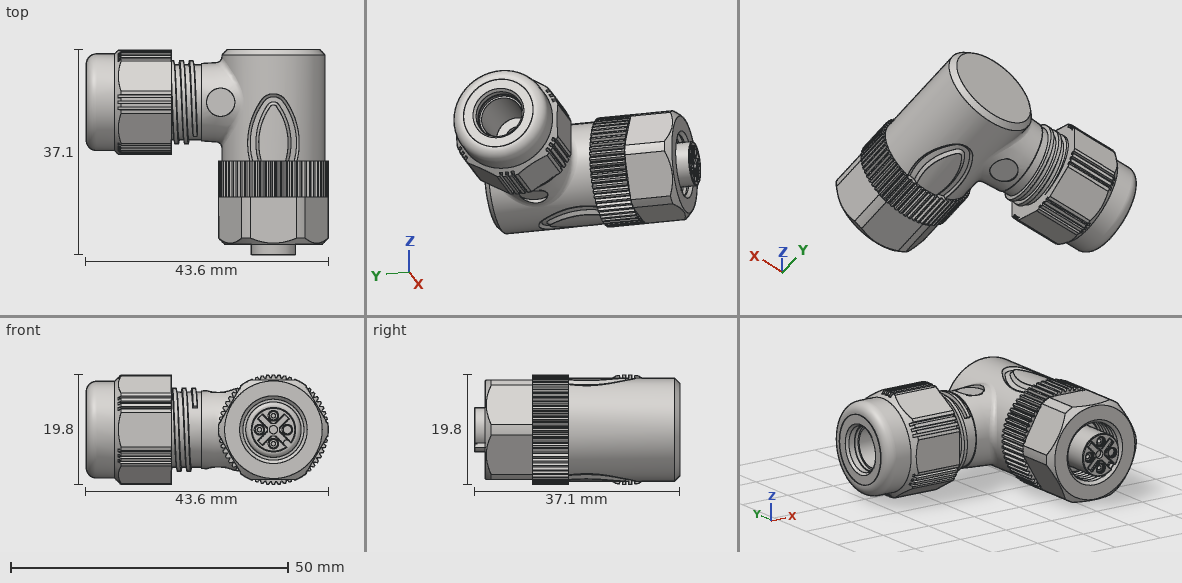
import cadquery as cq
import math


BODY_RADIUS = 9.3
BODY_TOP_Y = 9.55
BODY_CHAMFER = 1.0
NECK_RADIUS = 7.0
NECK_ROOT_RADIUS = 7.5
NECK_ROOT_X = -5.0
NECK_SHOULDER_X = -13.0
NECK_BLEND = 1.0

FLAT_CENTER_X = -9.5
FLAT_RADIUS = 2.55
FLAT_HEIGHT = 6.7

OVAL_CENTER_Y = -7.35
OVAL_HALF_WIDTH = 4.65
OVAL_HALF_LENGTH = 8.88
OVAL_SIDE_RADIUS = 13.4
OVAL_WALL_SLOPE = 0.55
OVAL_LAND_INSET = 2.0
OVAL_DEPTH = 0.6

THREAD_ROOT_RADIUS = 6.8
THREAD_CREST_RADIUS = 7.5
THREAD_PITCH = 1.75
THREAD_BASE_WIDTH = 1.0
THREAD_CREST_WIDTH = 0.65
THREAD_EMBED = 0.2
THREAD_END_X = -14.1
THREAD_END_ANGLE = 55.0
THREAD_TURNS = 2.9

GLAND_FRONT_X = -33.75
GLAND_BACK_X = -18.4
GLAND_CONE_X = -28.6
GLAND_DOME_RADIUS = 8.75
GLAND_DOME_ROUND = 1.9
GLAND_RADIUS = 9.9
GLAND_FLATS = 18.8
GRIP_GROOVE_COUNT = 3
GRIP_GROOVE_PITCH = 1.13
GRIP_GROOVE_WIDTH = 0.5
GRIP_GROOVE_DEPTH = 0.6

FACE_RECESS_RADIUS = 6.5
FACE_RECESS_DEPTH = 0.1
ENTRY_RADIUS = 4.75
ENTRY_CONE_LENGTH = 0.5
ENTRY_THROAT_RADIUS = 4.3
ENTRY_THROAT_LENGTH = 1.2
ENTRY_STEP_RADIUS = 4.15
ENTRY_STEP_LENGTH = 0.7
SEAL_RADIUS = 3.8
SEAL_END_X = -21.0
CABLE_RADIUS = 2.05

COUPLING_RADIUS = 9.9
COUPLING_BACK_Y = -10.55
KNURL_END_Y = -17.1
KNURL_TEETH = 60
KNURL_DEPTH = 0.5
KNURL_TIP_SHARE = 0.35
KNURL_ROOT_SHARE = 0.15
HEX_FLATS = 18.0
HEX_END_Y = -25.6
HEX_CHAMFER = 1.1

SOCKET_DEPTH = 8.0
SOCKET_MINOR_RADIUS = 5.5
SOCKET_MAJOR_RADIUS = 6.0
SOCKET_PITCH = 1.0
SOCKET_GROOVES = 6
SOCKET_MOUTH_RADIUS = 6.1

INSERT_RADIUS = 4.0
INSERT_END_Y = -27.55
INSERT_EDGE_CHAMFER = 0.15
SHOULDER_RADIUS = 5.0
SHOULDER_DEPTH = 5.0
SHOULDER_ROUND = 0.9
CONTACT_CIRCLE_RADIUS = 2.52
CONTACT_MOUTH_RADIUS = 0.95
CONTACT_MOUTH_DEPTH = 0.25
CONTACT_RADIUS = 0.75
CONTACT_DEPTH = 0.6
PIN_HOLE_RADIUS = 0.4
PIN_HOLE_DEPTH = 3.0
CENTER_HOLE_RADIUS = 0.75
CENTER_HOLE_DEPTH = 1.2
CROSS_LENGTH = 6.8
CROSS_WIDTH = 1.0
CROSS_DEPTH = 0.5
CROSS_RIM_WIDTH = 1.3
CROSS_RIM_DEPTH = 0.15
CROSS_CENTER_SIZE = 2.2
KEYWAY_WIDTH = 1.1
KEYWAY_FLOOR_RADIUS = 2.8

HEX_SIDES = 6
CLEARANCE = 1.0


def cylinder_x(radius, x_start, x_end):
    return cq.Workplane("YZ", origin=(x_start, 0, 0)).circle(radius).extrude(x_end - x_start)


def cylinder_y(radius, y_start, y_end, x=0, z=0):
    """Cylinder along Y from y_start down to the lower y_end."""
    return cq.Workplane("XZ", origin=(x, y_start, z)).circle(radius).extrude(y_start - y_end)


def revolve_about_x(profile):
    return profile.close().revolve(360, (0, 0, 0), (1, 0, 0))


def revolve_about_y(profile):
    return profile.close().revolve(360, (0, 0, 0), (0, 1, 0))


def corner_diameter(across_flats):
    return across_flats / math.cos(math.pi / HEX_SIDES)


def make_elbow():
    barrel = cylinder_y(BODY_RADIUS, BODY_TOP_Y, COUPLING_BACK_Y - CLEARANCE)
    barrel = barrel.faces(">Y").chamfer(BODY_CHAMFER)
    neck = revolve_about_x(
        cq.Workplane("XY")
        .moveTo(NECK_SHOULDER_X, 0)
        .lineTo(NECK_SHOULDER_X, NECK_RADIUS)
        .lineTo(NECK_ROOT_X, NECK_ROOT_RADIUS)
        .lineTo(0, NECK_ROOT_RADIUS)
        .lineTo(0, 0)
    )
    elbow = barrel.union(neck)
    reach = NECK_ROOT_RADIUS + CLEARANCE / 2
    seam_low = (-BODY_RADIUS - CLEARANCE, -reach, -reach)
    seam_high = (NECK_ROOT_X + 2 * CLEARANCE, reach, reach)
    seam = elbow.edges(cq.selectors.BoxSelector(seam_low, seam_high))
    return seam.fillet(NECK_BLEND)


def cut_neck_flats(elbow):
    for side in (1, -1):
        flat = (
            cq.Workplane("XY", origin=(FLAT_CENTER_X, 0, side * FLAT_HEIGHT))
            .circle(FLAT_RADIUS)
            .extrude(side * CLEARANCE)
        )
        elbow = elbow.cut(flat)
    return elbow


def oval_prism(inset):
    """Upright prism on a four-arc oval set in from the groove's outer rim."""
    side_center = OVAL_SIDE_RADIUS - OVAL_HALF_WIDTH
    tip_radius = (side_center**2 + OVAL_HALF_LENGTH**2 - OVAL_SIDE_RADIUS**2) / (
        2 * (OVAL_HALF_LENGTH - OVAL_SIDE_RADIUS)
    )
    tip_center = OVAL_HALF_LENGTH - tip_radius
    half_width = OVAL_HALF_WIDTH - inset
    half_length = OVAL_HALF_LENGTH - inset
    join_angle = math.atan2(tip_center, side_center)
    join_x = (tip_radius - inset) * math.cos(join_angle)
    join_y = tip_center + (tip_radius - inset) * math.sin(join_angle)
    return (
        cq.Workplane("XY", origin=(0, OVAL_CENTER_Y, 0))
        .moveTo(join_x, join_y)
        .threePointArc((0, half_length), (-join_x, join_y))
        .threePointArc((-half_width, 0), (-join_x, -join_y))
        .threePointArc((0, -half_length), (join_x, -join_y))
        .threePointArc((half_width, 0), (join_x, join_y))
        .close()
        .extrude(BODY_RADIUS + CLEARANCE)
    )


def cut_oval_grooves(elbow):
    """Ring groove with sloped walls that leaves an oval land in its middle."""
    floor_radius = BODY_RADIUS - OVAL_DEPTH
    end_y = OVAL_CENTER_Y - OVAL_HALF_LENGTH - CLEARANCE
    shell = cylinder_y(BODY_RADIUS, BODY_TOP_Y, end_y).cut(cylinder_y(floor_radius, BODY_TOP_Y, end_y))
    groove = oval_prism(0).cut(oval_prism(OVAL_LAND_INSET)).intersect(shell)
    floor = groove.faces(cq.selectors.NearestToPointSelector((0, OVAL_CENTER_Y, 0)))
    groove = floor.edges().chamfer(OVAL_WALL_SLOPE)
    return elbow.cut(groove).cut(groove.mirror("XY"))


def make_neck_thread():
    core = cylinder_x(THREAD_ROOT_RADIUS, GLAND_BACK_X - CLEARANCE, NECK_SHOULDER_X)
    length = THREAD_PITCH * THREAD_TURNS
    base_radius = THREAD_ROOT_RADIUS - THREAD_EMBED
    path = cq.Wire.makeHelix(THREAD_PITCH, length, THREAD_ROOT_RADIUS)
    rib = (
        cq.Workplane("XZ")
        .moveTo(base_radius, -THREAD_BASE_WIDTH / 2)
        .lineTo(THREAD_CREST_RADIUS, -THREAD_CREST_WIDTH / 2)
        .lineTo(THREAD_CREST_RADIUS, THREAD_CREST_WIDTH / 2)
        .lineTo(base_radius, THREAD_BASE_WIDTH / 2)
        .close()
        .sweep(cq.Workplane(obj=path), isFrenet=True)
    )
    rib = rib.rotate((0, 0, 0), (0, 1, 0), 90)
    start_angle = THREAD_END_ANGLE - 360 * THREAD_TURNS - 180
    rib = rib.rotate((0, 0, 0), (1, 0, 0), start_angle)
    return core.union(rib.translate((THREAD_END_X - length, 0, 0)))


def make_gland_nut():
    dome_edge_x = GLAND_FRONT_X + GLAND_DOME_ROUND
    dome_face_radius = GLAND_DOME_RADIUS - GLAND_DOME_ROUND
    diagonal = GLAND_DOME_ROUND * math.sqrt(0.5)
    cone_end_x = GLAND_CONE_X + GLAND_RADIUS - GLAND_DOME_RADIUS
    turned = revolve_about_x(
        cq.Workplane("XY")
        .moveTo(GLAND_FRONT_X, 0)
        .lineTo(GLAND_FRONT_X, dome_face_radius)
        .threePointArc(
            (dome_edge_x - diagonal, dome_face_radius + diagonal),
            (dome_edge_x, GLAND_DOME_RADIUS),
        )
        .lineTo(GLAND_CONE_X, GLAND_DOME_RADIUS)
        .lineTo(cone_end_x, GLAND_RADIUS)
        .lineTo(GLAND_BACK_X, GLAND_RADIUS)
        .lineTo(GLAND_BACK_X, 0)
    )
    length = GLAND_BACK_X - GLAND_FRONT_X
    hexagon = (
        cq.Workplane("YZ", origin=(GLAND_FRONT_X, 0, 0))
        .polygon(HEX_SIDES, corner_diameter(GLAND_FLATS))
        .extrude(length)
        .rotate((0, 0, 0), (1, 0, 0), 90)
    )
    nut = turned.intersect(hexagon)
    for corner in range(HEX_SIDES):
        for index in range(GRIP_GROOVE_COUNT):
            offset = (index - (GRIP_GROOVE_COUNT - 1) / 2) * GRIP_GROOVE_PITCH
            angle = corner * 360 / HEX_SIDES + math.degrees(offset / GLAND_RADIUS)
            groove = (
                cq.Workplane("XY", origin=(0, 0, GLAND_RADIUS - GRIP_GROOVE_DEPTH))
                .center(GLAND_BACK_X - length / 2, 0)
                .rect(length + CLEARANCE, GRIP_GROOVE_WIDTH)
                .extrude(GRIP_GROOVE_DEPTH + CLEARANCE)
                .rotate((0, 0, 0), (1, 0, 0), angle)
            )
            nut = nut.cut(groove)
    return nut


def make_cable_entry():
    """Stepped bore removed from the gland, ending where the two axes cross."""
    face_x = GLAND_FRONT_X + FACE_RECESS_DEPTH
    cone_end_x = face_x + ENTRY_CONE_LENGTH
    throat_end_x = cone_end_x + ENTRY_THROAT_LENGTH
    step_end_x = throat_end_x + ENTRY_STEP_LENGTH
    return revolve_about_x(
        cq.Workplane("XY")
        .moveTo(GLAND_FRONT_X, 0)
        .lineTo(GLAND_FRONT_X, FACE_RECESS_RADIUS)
        .lineTo(face_x, FACE_RECESS_RADIUS)
        .lineTo(face_x, ENTRY_RADIUS)
        .lineTo(cone_end_x, ENTRY_THROAT_RADIUS)
        .lineTo(throat_end_x, ENTRY_THROAT_RADIUS)
        .lineTo(throat_end_x, ENTRY_STEP_RADIUS)
        .lineTo(step_end_x, ENTRY_STEP_RADIUS)
        .lineTo(step_end_x, SEAL_RADIUS)
        .lineTo(SEAL_END_X, SEAL_RADIUS)
        .lineTo(SEAL_END_X, CABLE_RADIUS)
        .lineTo(0, CABLE_RADIUS)
        .lineTo(0, 0)
    )


def make_knurled_ring():
    root_radius = COUPLING_RADIUS - KNURL_DEPTH
    pitch = 2 * math.pi / KNURL_TEETH
    outline = []
    for tooth in range(KNURL_TEETH):
        middle = tooth * pitch
        tip = KNURL_TIP_SHARE * pitch / 2
        root = (1 - KNURL_ROOT_SHARE) * pitch / 2
        for radius, shift in (
            (root_radius, -root),
            (COUPLING_RADIUS, -tip),
            (COUPLING_RADIUS, tip),
            (root_radius, root),
        ):
            angle = middle + shift
            outline.append((radius * math.cos(angle), radius * math.sin(angle)))
    return (
        cq.Workplane("XZ", origin=(0, COUPLING_BACK_Y, 0))
        .polyline(outline)
        .close()
        .extrude(COUPLING_BACK_Y - KNURL_END_Y)
    )


def make_hex_nut():
    hexagon = (
        cq.Workplane("XZ", origin=(0, KNURL_END_Y, 0))
        .polygon(HEX_SIDES, corner_diameter(HEX_FLATS))
        .extrude(KNURL_END_Y - HEX_END_Y)
    )
    turned = cylinder_y(COUPLING_RADIUS, KNURL_END_Y, HEX_END_Y).faces("<Y").chamfer(HEX_CHAMFER)
    return hexagon.intersect(turned)


def make_socket():
    """Threaded recess removed from the hex nut around the contact insert."""
    mouth_depth = SOCKET_MOUTH_RADIUS - SOCKET_MINOR_RADIUS
    profile = (
        cq.Workplane("XY")
        .moveTo(0, HEX_END_Y)
        .lineTo(SOCKET_MOUTH_RADIUS, HEX_END_Y)
        .lineTo(SOCKET_MINOR_RADIUS, HEX_END_Y + mouth_depth)
    )
    for groove in range(SOCKET_GROOVES):
        start_y = HEX_END_Y + mouth_depth + groove * SOCKET_PITCH
        profile = profile.lineTo(SOCKET_MAJOR_RADIUS, start_y + SOCKET_PITCH / 2)
        profile = profile.lineTo(SOCKET_MINOR_RADIUS, start_y + SOCKET_PITCH)
    floor_y = HEX_END_Y + SOCKET_DEPTH
    return revolve_about_y(profile.lineTo(SOCKET_MINOR_RADIUS, floor_y).lineTo(0, floor_y))


def make_keyway(shoulder_y):
    """Round-ended slot along the insert towards +X and -Z."""
    radial_depth = INSERT_RADIUS - KEYWAY_FLOOR_RADIUS + KEYWAY_WIDTH
    return (
        cq.Workplane("XZ", origin=(0, shoulder_y, 0))
        .center(KEYWAY_FLOOR_RADIUS + radial_depth / 2, 0)
        .slot2D(radial_depth, KEYWAY_WIDTH)
        .extrude(shoulder_y - INSERT_END_Y)
        .rotate((0, 0, 0), (0, 1, 0), 45)
    )


def face_pocket(length, width, depth, angle):
    """Rectangular pocket tool centred on the insert face, turned about Y."""
    return (
        cq.Workplane("XZ", origin=(0, INSERT_END_Y + depth, 0))
        .rect(length, width)
        .extrude(depth)
        .rotate((0, 0, 0), (0, 1, 0), angle)
    )


def face_hole(radius, depth, x, z):
    return cylinder_y(radius, INSERT_END_Y + depth, INSERT_END_Y, x, z)


def make_insert():
    base_y = HEX_END_Y + SOCKET_DEPTH
    shoulder_y = HEX_END_Y + SHOULDER_DEPTH
    shoulder = cylinder_y(SHOULDER_RADIUS, base_y, shoulder_y).faces("<Y").edges().fillet(SHOULDER_ROUND)
    pin = cylinder_y(INSERT_RADIUS, base_y, INSERT_END_Y).faces("<Y").chamfer(INSERT_EDGE_CHAMFER)
    pin = pin.cut(make_keyway(shoulder_y))
    insert = shoulder.union(pin)
    for arm_angle in (45, -45):
        insert = insert.cut(face_pocket(CROSS_LENGTH, CROSS_WIDTH, CROSS_DEPTH, arm_angle))
        insert = insert.cut(face_pocket(CROSS_LENGTH, CROSS_RIM_WIDTH, CROSS_RIM_DEPTH, arm_angle))
    insert = insert.cut(face_pocket(CROSS_CENTER_SIZE, CROSS_CENTER_SIZE, CROSS_DEPTH, 0))
    for x_step, z_step in ((1, 0), (-1, 0), (0, 1), (0, -1)):
        x = x_step * CONTACT_CIRCLE_RADIUS
        z = z_step * CONTACT_CIRCLE_RADIUS
        insert = insert.cut(face_hole(CONTACT_MOUTH_RADIUS, CONTACT_MOUTH_DEPTH, x, z))
        insert = insert.cut(face_hole(CONTACT_RADIUS, CONTACT_DEPTH, x, z))
        if x_step != 1:
            insert = insert.cut(face_hole(PIN_HOLE_RADIUS, PIN_HOLE_DEPTH, x, z))
    return insert.cut(face_hole(CENTER_HOLE_RADIUS, CENTER_HOLE_DEPTH, 0, 0))


elbow = cut_oval_grooves(cut_neck_flats(make_elbow()))
cable_side = make_neck_thread().union(make_gland_nut())
plug_side = make_knurled_ring().union(make_hex_nut()).cut(make_socket()).union(make_insert())
result = elbow.union(cable_side).union(plug_side).cut(make_cable_entry())